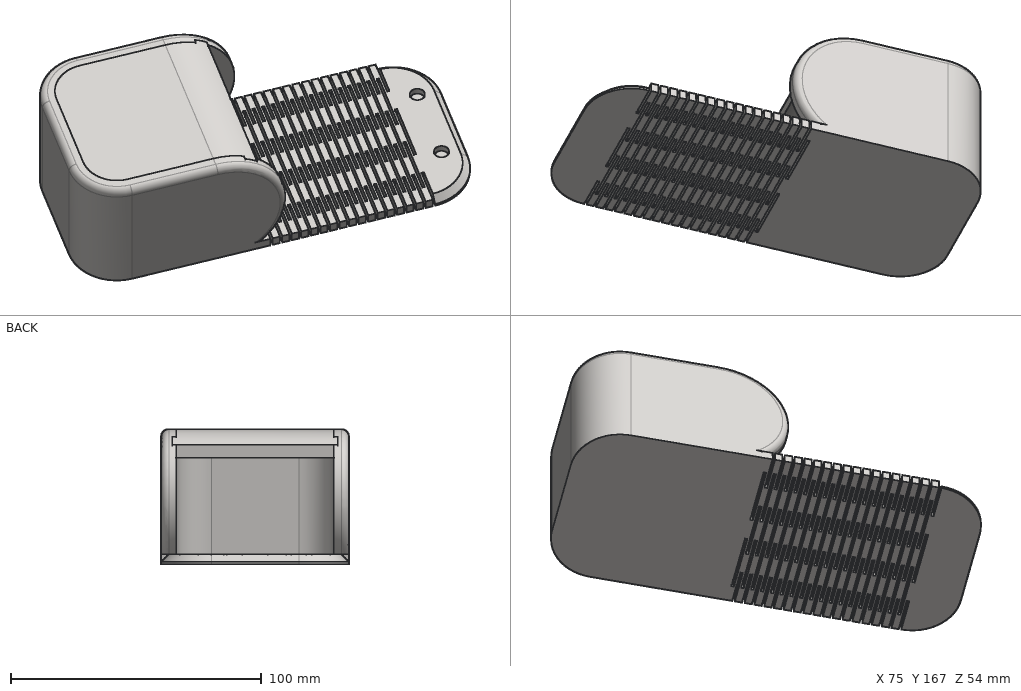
import cadquery as cq
import math

width = 75.0
total_length = 167.0
height = 54.0
corner_radius = 20.0

plate_thickness = 4.0
flap_chamfer = 3.0
flap_tip_y = total_length - corner_radius

roll_radius = 29.0
roll_y = 56.0
roll_z = height - roll_radius
wall = 6.0
edge_fillet = 3.0

lid_thickness = 4.0
lid_width = width - 2 * wall
lid_overhang = 17.9
lid_end_y = roll_y + lid_overhang
ear_length = 5.0
ear_depth = 1.5

slot_width = 1.0
hinge_length = 70.0
slot_length = 25.0
slot_gap = 10.0
slot_rows = 36
slot_pitch = hinge_length / (slot_rows - 1)
slot_spacing = slot_length + slot_gap
first_slot_y = flap_tip_y - slot_width / 2

hole_diameter = 6.0
hole_depth = 3.0
hole_end_distance = 10.0
hole_y = total_length - hole_end_distance
hole_xs = (-17.4, 14.4)


def block(size_x, front_y, back_y, bottom_z, top_z):
    """Box centred on X, between the given Y and Z limits."""
    return (
        cq.Workplane("XY", origin=(0, (front_y + back_y) / 2, bottom_z))
        .rect(size_x, back_y - front_y)
        .extrude(top_z - bottom_z)
    )


def rolled_block(inset):
    """Block above the plate with a rolled rear; its top and roll are set in by inset."""
    radius = roll_radius - inset
    top_z = roll_z + radius
    end_y = roll_y + math.sqrt(radius**2 - (roll_z - plate_thickness) ** 2)
    return (
        cq.Workplane("YZ", origin=(-width / 2, 0, 0))
        .moveTo(0, plate_thickness)
        .lineTo(0, top_z)
        .lineTo(roll_y, top_z)
        .threePointArc((roll_y + radius, roll_z), (end_y, plate_thickness))
        .close()
        .extrude(width)
    )


def round_front_block(size_x, front_y, back_y, bottom_z, top_z, radius):
    """Box with its two upright front edges rounded."""
    return block(size_x, front_y, back_y, bottom_z, top_z).edges("|Z and <Y").fillet(radius)


def opening_prism(back_y, bottom_z):
    """Space between the side walls, from bottom_z up to the top of the housing."""
    return round_front_block(lid_width, wall, back_y, bottom_z, height, corner_radius - wall)


def make_lid():
    """Curved sheet that fills the opening, with ears that reach into the side walls."""
    ears = block(lid_width + 2 * ear_depth, lid_end_y - ear_length, lid_end_y, roll_z, height)
    outline = opening_prism(lid_end_y, roll_z).union(ears)
    sheet = rolled_block(0).cut(rolled_block(lid_thickness))
    return sheet.intersect(outline)


def make_plate():
    """Base plate with round corners, chamfered only around the flap end."""
    chamfered_plate = (
        block(width, 0, total_length, 0, plate_thickness)
        .edges("|Z")
        .fillet(corner_radius)
        .faces(">Z")
        .chamfer(flap_chamfer)
    )
    plain_part = round_front_block(width, 0, flap_tip_y, 0, plate_thickness, corner_radius)
    return chamfered_plate.union(plain_part)


def make_walls():
    """Side and front walls with a rolled rear and a rounded outer edge."""
    solid_walls = (
        rolled_block(0)
        .edges("|Z and <Y")
        .fillet(corner_radius)
        .faces(">Z")
        .edges("<X")
        .fillet(edge_fillet)
    )
    return solid_walls.cut(opening_prism(roll_y + roll_radius, plate_thickness))


def hinge_slots():
    """Through slots: one in the middle and two open at the sides, then two between them."""
    centred_row = (-slot_spacing, 0, slot_spacing)
    offset_row = (-slot_spacing / 2, slot_spacing / 2)
    points = []
    for row in range(slot_rows):
        y = first_slot_y - row * slot_pitch
        row_xs = centred_row if row % 2 == 0 else offset_row
        points += [(x, y) for x in row_xs]
    return cq.Workplane("XY").pushPoints(points).rect(slot_length, slot_width).extrude(plate_thickness)


def flap_holes():
    """Round blind holes sunk from the top of the flap."""
    return (
        cq.Workplane("XY", origin=(0, 0, plate_thickness))
        .pushPoints([(x, hole_y) for x in hole_xs])
        .circle(hole_diameter / 2)
        .extrude(-hole_depth)
    )


lid = make_lid()
housing = make_plate().union(make_walls()).cut(lid).cut(hinge_slots()).cut(flap_holes())

result = cq.Compound.makeCompound([housing.solids().val(), lid.solids().val()])